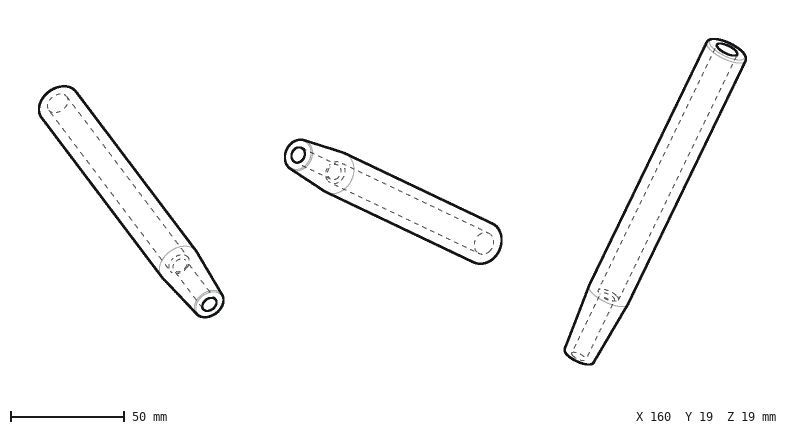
import cadquery as cq
import math

length = 160.0
body_diameter = 19.0
nose_length = 32.0
nose_tip_diameter = 14.0
rear_edge_radius = 1.0
tip_edge_radius = 0.5
bore_rear_diameter = 10.0
bore_tip_diameter = 6.9
shoulder_cone_angle = 118.0


def make_body():
    """Solid cylinder with a tapered nose and rounded end edges."""
    profile = (
        cq.Workplane("XY")
        .lineTo(0, body_diameter / 2)
        .lineTo(length - nose_length, body_diameter / 2)
        .lineTo(length, nose_tip_diameter / 2)
        .lineTo(length, 0)
        .close()
    )
    body = profile.revolve(360, (0, 0, 0), (1, 0, 0))
    body = body.faces("<X").edges().fillet(rear_edge_radius)
    return body.faces(">X").edges().fillet(tip_edge_radius)


def make_bore():
    """Wide rear bore, a conical shoulder and a narrow outlet through the tip."""
    wide_radius = bore_rear_diameter / 2
    narrow_radius = bore_tip_diameter / 2
    shoulder_start = length - nose_length
    shoulder_length = (wide_radius - narrow_radius) / math.tan(math.radians(shoulder_cone_angle / 2))
    shoulder_end = shoulder_start + shoulder_length
    profile = (
        cq.Workplane("XY")
        .lineTo(0, wide_radius)
        .lineTo(shoulder_start, wide_radius)
        .lineTo(shoulder_end, narrow_radius)
        .lineTo(length, narrow_radius)
        .lineTo(length, 0)
        .close()
    )
    return profile.revolve(360, (0, 0, 0), (1, 0, 0))


result = make_body().cut(make_bore())